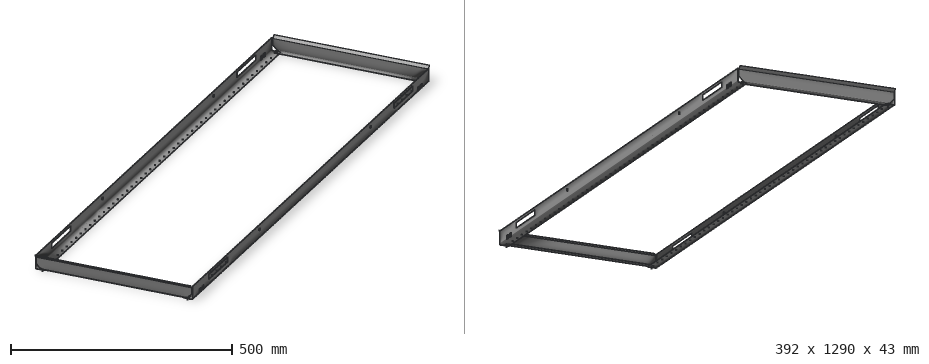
import cadquery as cq
import math

frame_length = 1290.0
frame_width = 392.0
frame_height = 43.0
sheet = 1.5

rail_length = 1273.0
rail_top = 17.0
rail_bottom = -17.0
rail_flange_width = 23.0
rail_flange_top = rail_bottom + sheet
rail_bend_inside = 1.9
rail_bend_outside = rail_bend_inside + sheet

slot_length = 100.0
slot_height = 13.0
slot_y = 499.0
slot_z = 4.0
window_length = 8.4
window_height = 9.0
window_z = -9.7
window_spacing = 15.0
outer_window_end_distance = 41.0
outer_window_y = rail_length / 2 - outer_window_end_distance
window_distances = (outer_window_y - window_spacing, outer_window_y)
wall_hole_diameter = 6.0
wall_hole_z = 5.0
wall_hole_y_places = (323.0, -276.0)

flange_hole_diameter = 3.1
flange_hole_count = 49
flange_hole_span = 1200.0
flange_hole_pitch = flange_hole_span / (flange_hole_count - 1)
flange_hole_x = 180.0

end_rail_length = 387.0
end_sheet = 1.5
end_wall_y = 639.0
end_flange_width = 14.0
end_flange_end_gap = 9.0
end_flange_top = rail_flange_top + end_sheet
end_bend_inside = 0.6
end_bend_outside = end_bend_inside + end_sheet
end_corner_cut = 13.0
lip_angle = math.radians(45)

rivet_x = flange_hole_x
rivet_y = 632.0
rivet_diameter = 3.0
rivet_head_diameter = 8.0
rivet_head_height = 1.0
rivet_tail_bottom = -frame_height / 2


def wall_cutter(y_size, z_size, y, z):
    """Rectangular block that cuts through the wall on the -X side."""
    cut_depth = 4 * sheet
    return cq.Workplane("XY").box(cut_depth, y_size, z_size).translate((-frame_width / 2, y, z))


def vertical_hole(diameter, places):
    """Cylinders along Z that cut through the flanges."""
    return (
        cq.Workplane("XY", origin=(0, 0, rail_bottom))
        .pushPoints(places)
        .circle(diameter / 2)
        .extrude(end_flange_top - rail_bottom)
    )


def make_side_rail():
    """Side rail on the -X side."""
    outer_x = -frame_width / 2
    inner_x = outer_x + sheet
    flange_edge_x = outer_x + rail_flange_width
    rail = (
        cq.Workplane("XZ", origin=(0, rail_length / 2, 0))
        .moveTo(outer_x, rail_top)
        .lineTo(outer_x, rail_bottom + rail_bend_outside)
        .radiusArc((outer_x + rail_bend_outside, rail_bottom), -rail_bend_outside)
        .lineTo(flange_edge_x, rail_bottom)
        .lineTo(flange_edge_x, rail_flange_top)
        .lineTo(inner_x + rail_bend_inside, rail_flange_top)
        .radiusArc((inner_x, rail_flange_top + rail_bend_inside), rail_bend_inside)
        .lineTo(inner_x, rail_top)
        .close()
        .extrude(rail_length)
    )

    for side in (-1, 1):
        rail = rail.cut(wall_cutter(slot_length, slot_height, side * slot_y, slot_z))
        for distance in window_distances:
            rail = rail.cut(wall_cutter(window_length, window_height, side * distance, window_z))

    wall_holes = (
        cq.Workplane("YZ", origin=(outer_x, 0, 0))
        .pushPoints([(y, wall_hole_z) for y in wall_hole_y_places])
        .circle(wall_hole_diameter / 2)
        .extrude(sheet)
    )
    rail = rail.cut(wall_holes)

    first_hole_y = -flange_hole_span / 2
    flange_places = [
        (-flange_hole_x, first_hole_y + i * flange_hole_pitch) for i in range(flange_hole_count)
    ]
    rail = rail.cut(vertical_hole(flange_hole_diameter, flange_places))

    rivet_places = [(-rivet_x, side * rivet_y) for side in (-1, 1)]
    return rail.cut(vertical_hole(rivet_diameter, rivet_places))


def make_end_rail():
    """End rail on the +Y side."""
    inner_y = end_wall_y - end_sheet
    flange_edge_y = end_wall_y - end_flange_width
    lip_end_y = frame_length / 2
    lip_end_z = frame_height / 2 - end_sheet * math.sin(lip_angle)
    lip_start_z = lip_end_z - (lip_end_y - end_wall_y) * math.tan(lip_angle)
    inside_corner_z = lip_start_z + end_sheet * math.tan(lip_angle / 2)
    rail = (
        cq.Workplane("YZ", origin=(-end_rail_length / 2, 0, 0))
        .moveTo(flange_edge_y, rail_flange_top)
        .lineTo(end_wall_y - end_bend_outside, rail_flange_top)
        .radiusArc((end_wall_y, rail_flange_top + end_bend_outside), -end_bend_outside)
        .lineTo(end_wall_y, lip_start_z)
        .lineTo(lip_end_y, lip_end_z)
        .lineTo(lip_end_y - end_sheet * math.sin(lip_angle), frame_height / 2)
        .lineTo(inner_y, inside_corner_z)
        .lineTo(inner_y, end_flange_top + end_bend_inside)
        .radiusArc((inner_y - end_bend_inside, end_flange_top), end_bend_inside)
        .lineTo(flange_edge_y, end_flange_top)
        .close()
        .extrude(end_rail_length)
    )

    for side in (-1, 1):
        end_x = side * end_rail_length / 2
        cut_x = end_x - side * end_flange_end_gap
        flange_end = (
            cq.Workplane("XY", origin=(0, 0, rail_flange_top))
            .moveTo(end_x, flange_edge_y)
            .lineTo(cut_x, flange_edge_y)
            .lineTo(cut_x, inner_y)
            .lineTo(end_x, inner_y)
            .close()
            .extrude(end_bend_outside)
        )
        wall_corner = (
            cq.Workplane("XZ", origin=(0, end_wall_y, 0))
            .moveTo(end_x, rail_flange_top)
            .lineTo(end_x - side * end_corner_cut, rail_flange_top)
            .lineTo(end_x, rail_flange_top + end_corner_cut)
            .close()
            .extrude(end_sheet)
        )
        rail = rail.cut(flange_end).cut(wall_corner)

    return rail.cut(vertical_hole(rivet_diameter, [(-rivet_x, rivet_y), (rivet_x, rivet_y)]))


def make_rivet(x, y):
    """Rivet with its head on the end rail flange and its tail below the side rail."""
    shank = (
        cq.Workplane("XY", origin=(x, y, rivet_tail_bottom))
        .circle(rivet_diameter / 2)
        .extrude(end_flange_top - rivet_tail_bottom)
    )
    head = (
        cq.Workplane("XY", origin=(x, y, end_flange_top))
        .circle(rivet_head_diameter / 2)
        .extrude(rivet_head_height)
    )
    return shank.union(head)


left_rail = make_side_rail()
side_rails = [left_rail, left_rail.mirror("YZ")]

far_rail = make_end_rail()
end_rails = [far_rail, far_rail.mirror("XZ")]

rivets = [make_rivet(i * rivet_x, j * rivet_y) for i in (-1, 1) for j in (-1, 1)]

result = cq.Compound.makeCompound([body.solids().val() for body in side_rails + end_rails + rivets])